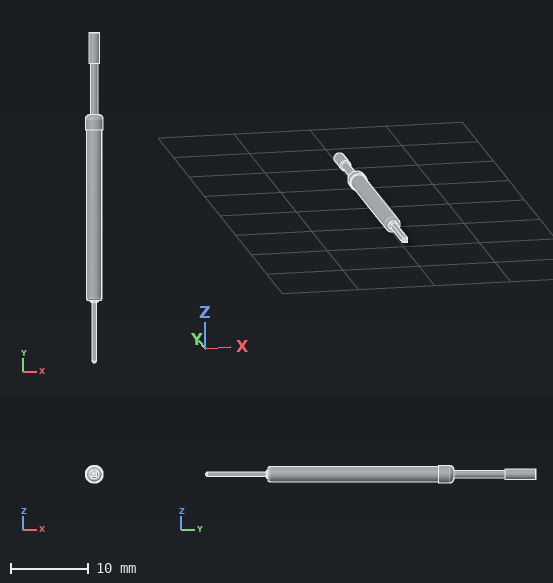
import cadquery as cq

length = 42.5
tail_end = -length / 2
tip_end = length / 2

tip_diameter = 1.4
tip_length = 4.0
rod_diameter = 0.98
rod_length = 6.55

collar_diameter = 2.3
collar_length = 1.95
collar_round = 0.6
barrel_diameter = 2.0
barrel_length = 23.95
barrel_round = 0.3

tail_width = 0.65
flare_width = 1.28
flare_length = 0.25
flare_diameter = 1.15
point_width = 0.2
point_length = 0.2

tip_base = tip_end - tip_length
collar_front = tip_base - rod_length
collar_back = collar_front - collar_length
barrel_back = collar_front - barrel_length
flare_back = barrel_back - flare_length
point_front = tail_end + point_length


def section_at(y):
    """Sketch plane at station y, facing -Y."""
    return cq.Workplane("XZ", origin=(0, y, 0))


def cylinder(front, back, diameter):
    """Round bar on the axis from station front back to station back."""
    return section_at(front).circle(diameter / 2).extrude(front - back)


def make_plunger():
    tip = cylinder(tip_end, tip_base, tip_diameter)
    rod = cylinder(tip_base, collar_front, rod_diameter)
    return tip.union(rod)


def make_barrel():
    collar = cylinder(collar_front, collar_back, collar_diameter)
    collar = collar.faces(">Y").edges().fillet(collar_round)
    tube = cylinder(collar_back, barrel_back, barrel_diameter)
    tube = tube.faces("<Y").edges().fillet(barrel_round)
    return collar.union(tube)


def square_taper(front, front_width, back, back_width):
    """Four-sided taper between square sections at stations front and back."""
    base = section_at(front).rect(front_width, front_width)
    return base.workplane(offset=front - back).rect(back_width, back_width).loft(ruled=True)


def make_tail():
    flare = square_taper(barrel_back, flare_width, flare_back, tail_width)
    flare = flare.intersect(cylinder(barrel_back, flare_back, flare_diameter))
    shank = section_at(flare_back).rect(tail_width, tail_width).extrude(flare_back - point_front)
    point = square_taper(point_front, tail_width, tail_end, point_width)
    return flare.union(shank).union(point)


result = make_plunger().union(make_barrel()).union(make_tail())